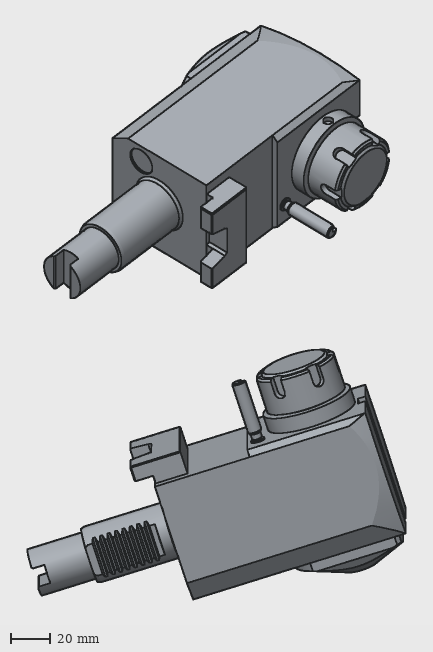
import cadquery as cq
import math


body_half_width = 32.0
body_length = 113.9
side_chamfer_x = 10.7
side_chamfer_z = 6.2
crown_center_x = 9.2
crown_center_drop = 127.8
crown_radius = 159.0
crown_draft = 13.9
plug_x = -12.5
plug_z = 21.7
plug_radius = 7.5
plug_depth = 1.1
back_groove_width = 9.6
back_groove_depth = 4.0

pad_face_x = 35.5
pad_front_y = 50.7
pad_half_height = 29.2

spindle_y = 85.0
cap_radius = 32.2
cap_cone_x = -37.1
cap_tip_x = -47.9
cap_tip_radius = 8.5
cap_flat = 23.0
cap_bevel_x = -37.9
cap_bevel_angle = 28.0
flange_radius = 23.4
flange_end_x = 43.5
neck_radius = 17.7
nut_start_x = 44.5
nut_radius = 21.0
nut_bevel_x = 62.5
nut_face_x = 63.7
nut_face_radius = 19.8
collet_radius = 18.0
collet_end_x = 65.0
collet_end_radius = 16.4
nut_slot_count = 6
nut_slot_width = 6.2
nut_slot_start_x = 53.2
nut_slot_floor = 17.3
screw_hole_x = 39.5
screw_hole_radius = 2.6
screw_hole_depth = 2.8

pin_y = 56.4
pin_z = -17.2
pin_radius = 3.5
pin_seat_end_x = 36.0
pin_groove_radius = 2.3
pin_groove_end_x = 36.8
pin_neck_radius = 2.6
pin_neck_end_x = 39.8
pin_shoulder_x = 40.7
pin_shoulder_radius = 3.0
pin_end_x = 67.9
pin_chamfer = 0.5
jet_radius = 2.0
jet_depth = 3.8

bracket_face_x = 44.3
bracket_back_y = 17.5
bracket_step_y = 0.4
bracket_half_height = 25.8
prong_inner_x = 36.2
prong_tip_y = -9.5
bracket_chamfer = 0.5
channel_floor_y = 2.0
channel_tip_half = 11.9
channel_step_half = 9.5
channel_floor_half = 8.3

collar_radius = 16.0
collar_length = 1.7
shank_radius = 14.9
shank_end_y = -45.2
shank_chamfer_radial = 0.5
shank_chamfer_length = 1.9
drive_radius = 12.5
drive_end_y = body_length - 188.5
drive_slot_width = 10.0
drive_slot_depth = 6.8
drive_slot_chamfer = 0.8

rack_flat_z = -12.3
rack_start_y = -7.5
rack_first_gap_y = -11.9
rack_pitch = 4.0
rack_gap_count = 8
rack_gap_mouth = 2.8
rack_gap_root = 1.1
rack_gap_depth = 1.9


def block(x0, x1, y0, y1, z0, z1):
    """Box between two opposite corners."""
    return cq.Workplane("XY").box(x1 - x0, y1 - y0, z1 - z0, centered=False).translate((x0, y0, z0))


def turned_along_x(points):
    """Solid turned about the spindle axis from (x, radius) points."""
    profile = [(points[0][0], 0), *points, (points[-1][0], 0)]
    return cq.Workplane("XY").polyline(profile).close().revolve(360, (0, 0), (1, 0))


def turned_along_y(points):
    """Solid turned about the Y axis from (radius, y) points."""
    profile = [(0, points[0][1]), *points, (0, points[-1][1])]
    return cq.Workplane("XY").polyline(profile).close().revolve(360, (0, 0), (0, 1))


def make_block_with_pad():
    w = body_half_width
    section = [
        (-w, w - side_chamfer_z),
        (-w + side_chamfer_x, w),
        (w, w),
        (w, -w),
        (-w + side_chamfer_x, -w),
        (-w, -w + side_chamfer_z),
    ]
    body = cq.Workplane("XZ").polyline(section).close().extrude(-body_length)
    pad_section = [(w, w), (pad_face_x, pad_half_height), (pad_face_x, -pad_half_height), (w, -w)]
    pad = (
        cq.Workplane("XZ", origin=(0, pad_front_y, 0))
        .polyline(pad_section)
        .close()
        .extrude(pad_front_y - body_length)
    )
    return body.union(pad)


def make_crown():
    """Cone that bevels the upper back edge along an arc, narrowing towards the back."""
    front_radius = crown_radius + body_length * math.tan(math.radians(crown_draft))
    cone = turned_along_y([(front_radius, 0), (crown_radius, body_length)])
    return cone.translate((crown_center_x, 0, -crown_center_drop))


def make_body():
    crown = make_crown()
    body = make_block_with_pad().intersect(crown).intersect(crown.mirror("XY"))
    plug = cq.Workplane("XZ").center(plug_x, plug_z).circle(plug_radius).extrude(-plug_depth)
    half_groove = back_groove_width / 2
    groove = block(
        -body_half_width,
        pad_face_x,
        body_length - back_groove_depth,
        body_length,
        -half_groove,
        half_groove,
    )
    return body.cut(plug).cut(groove)


def make_cap():
    cap = turned_along_x(
        [(-body_half_width, cap_radius), (cap_cone_x, cap_radius), (cap_tip_x, cap_tip_radius)]
    )
    back_flat = body_length - back_groove_depth - spindle_y
    bevel_drop = (cap_bevel_x - cap_tip_x) * math.tan(math.radians(cap_bevel_angle))
    envelope = (
        cq.Workplane("XZ", origin=(0, back_flat, 0))
        .polyline(
            [
                (-body_half_width, cap_flat),
                (cap_bevel_x, cap_flat),
                (cap_tip_x, cap_flat - bevel_drop),
                (cap_tip_x, bevel_drop - cap_flat),
                (cap_bevel_x, -cap_flat),
                (-body_half_width, -cap_flat),
            ]
        )
        .close()
        .extrude(back_flat + cap_radius)
    )
    return cap.intersect(envelope).translate((0, spindle_y, 0))


def make_nut_slot():
    """Cutter for one round-ended slot on the -Y side of the nut."""
    half = nut_slot_width / 2
    return (
        cq.Workplane("XZ", origin=(0, -nut_slot_floor, 0))
        .moveTo(collet_end_x, half)
        .lineTo(nut_slot_start_x + half, half)
        .threePointArc((nut_slot_start_x, 0), (nut_slot_start_x + half, -half))
        .lineTo(collet_end_x, -half)
        .close()
        .extrude(nut_radius)
    )


def make_screw_hole():
    """Drilled hole with a conical bottom, entering the flange from above."""
    floor_z = flange_radius - screw_hole_depth
    profile = [
        (0, flange_radius),
        (screw_hole_radius, flange_radius),
        (screw_hole_radius, floor_z),
        (0, floor_z - screw_hole_radius),
    ]
    hole = cq.Workplane("XZ").polyline(profile).close().revolve(360, (0, 0), (0, 1))
    return hole.translate((screw_hole_x, 0, 0))


def make_spindle_nose():
    nose = turned_along_x(
        [
            (body_half_width, flange_radius),
            (flange_end_x, flange_radius),
            (flange_end_x, neck_radius),
            (nut_start_x, neck_radius),
            (nut_start_x, nut_radius),
            (nut_bevel_x, nut_radius),
            (nut_face_x, nut_face_radius),
            (nut_face_x, collet_radius),
            (collet_end_x, collet_end_radius),
        ]
    )
    slot = make_nut_slot()
    for i in range(nut_slot_count):
        nose = nose.cut(slot.rotate((0, 0, 0), (1, 0, 0), i * 360 / nut_slot_count))
    return nose.cut(make_screw_hole()).translate((0, spindle_y, 0))


def make_jet():
    """Oblique bore in the pin tip, opening half way between +X and the spindle axis."""
    towards_spindle = cq.Vector(0, spindle_y - pin_y, -pin_z).normalized()
    direction = (towards_spindle + cq.Vector(1, 0, 0)).normalized()
    rim = cq.Vector(pin_end_x, pin_y, pin_z) + towards_spindle * pin_radius
    start = rim - direction * jet_depth
    return cq.Workplane(cq.Solid.makeCylinder(jet_radius, 2 * jet_depth, start, direction))


def make_pin():
    pin = turned_along_x(
        [
            (body_half_width, pin_radius),
            (pin_seat_end_x, pin_radius),
            (pin_seat_end_x, pin_groove_radius),
            (pin_groove_end_x, pin_groove_radius),
            (pin_groove_end_x, pin_neck_radius),
            (pin_neck_end_x, pin_neck_radius),
            (pin_neck_end_x, pin_shoulder_radius),
            (pin_shoulder_x, pin_shoulder_radius),
            (pin_shoulder_x, pin_radius),
            (pin_end_x - pin_chamfer, pin_radius),
            (pin_end_x, pin_radius - pin_chamfer),
        ]
    )
    return pin.translate((0, pin_y, pin_z)).cut(make_jet())


def make_bracket():
    h = bracket_half_height
    outline = [
        (body_half_width, bracket_back_y),
        (bracket_face_x, bracket_back_y),
        (bracket_face_x, prong_tip_y),
        (prong_inner_x, prong_tip_y),
        (prong_inner_x, bracket_step_y),
        (body_half_width, bracket_step_y),
    ]
    bracket = cq.Workplane("XY", origin=(0, 0, -h)).polyline(outline).close().extrude(2 * h)
    bracket = bracket.faces("<Y or >X").chamfer(bracket_chamfer)
    channel_edge = [
        (prong_tip_y, channel_tip_half),
        (bracket_step_y, channel_step_half),
        (channel_floor_y, channel_floor_half),
    ]
    mirrored_edge = [(y, -z) for y, z in reversed(channel_edge)]
    channel = (
        cq.Workplane("YZ", origin=(body_half_width, 0, 0))
        .polyline(channel_edge + mirrored_edge)
        .close()
        .extrude(bracket_face_x - body_half_width)
    )
    return bracket.cut(channel)


def make_rack_cutter():
    flat = block(
        -shank_radius, shank_radius, shank_end_y, rack_start_y, -shank_radius, rack_flat_z
    )
    gap_section = [
        (-rack_gap_mouth / 2, rack_flat_z),
        (-rack_gap_root / 2, rack_flat_z + rack_gap_depth),
        (rack_gap_root / 2, rack_flat_z + rack_gap_depth),
        (rack_gap_mouth / 2, rack_flat_z),
    ]
    gap = cq.Workplane("YZ").polyline(gap_section).close().extrude(shank_radius, both=True)
    cutter = flat
    for i in range(rack_gap_count):
        cutter = cutter.union(gap.translate((0, rack_first_gap_y - i * rack_pitch, 0)))
    return cutter


def make_shank():
    shank = turned_along_y(
        [
            (collar_radius, 0),
            (shank_radius, -collar_length),
            (shank_radius, shank_end_y + shank_chamfer_length),
            (shank_radius - shank_chamfer_radial, shank_end_y),
        ]
    ).cut(make_rack_cutter())
    drive = turned_along_y([(drive_radius, shank_end_y), (drive_radius, drive_end_y)])
    half = drive_slot_width / 2
    slot_section = [
        (-half - drive_slot_chamfer, drive_end_y),
        (-half, drive_end_y + drive_slot_chamfer),
        (-half, drive_end_y + drive_slot_depth),
        (half, drive_end_y + drive_slot_depth),
        (half, drive_end_y + drive_slot_chamfer),
        (half + drive_slot_chamfer, drive_end_y),
    ]
    slot = cq.Workplane("XY").polyline(slot_section).close().extrude(drive_radius, both=True)
    return shank.union(drive.cut(slot))


result = make_body()
for attachment in (make_cap(), make_spindle_nose(), make_pin(), make_bracket(), make_shank()):
    result = result.union(attachment)